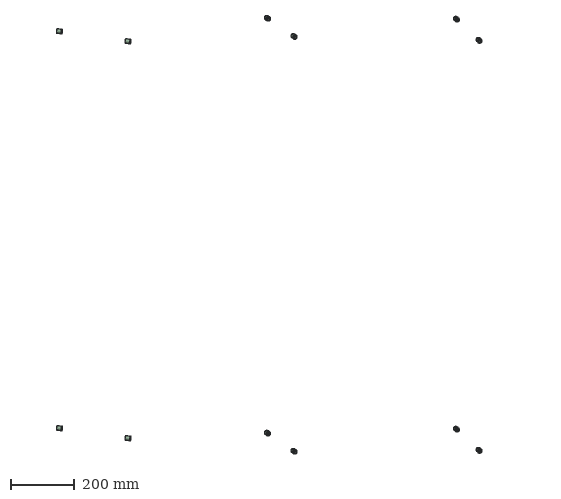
import cadquery as cq

span_x = 245.0
span_z = 1361.0

clear_gap = 214.0
bushing_diameter = 15.0
bore_diameter = 8.8
bushing_length = (span_x - clear_gap) / 2


def make_bushing(start_x, center_z):
    """Sleeve that runs from start_x in the +X direction, with a bore right through."""
    start_face = cq.Workplane("YZ", origin=(start_x, 0, center_z))
    body = start_face.circle(bushing_diameter / 2).extrude(bushing_length)
    bore = start_face.circle(bore_diameter / 2).extrude(bushing_length)
    return body.cut(bore)


left_start = -span_x / 2
right_start = clear_gap / 2
center_height = (span_z - bushing_diameter) / 2

bushings = []
for start_x in (left_start, right_start):
    for center_z in (-center_height, center_height):
        bushing = make_bushing(start_x, center_z)
        bushings.append(bushing.val())

result = cq.Compound.makeCompound(bushings)